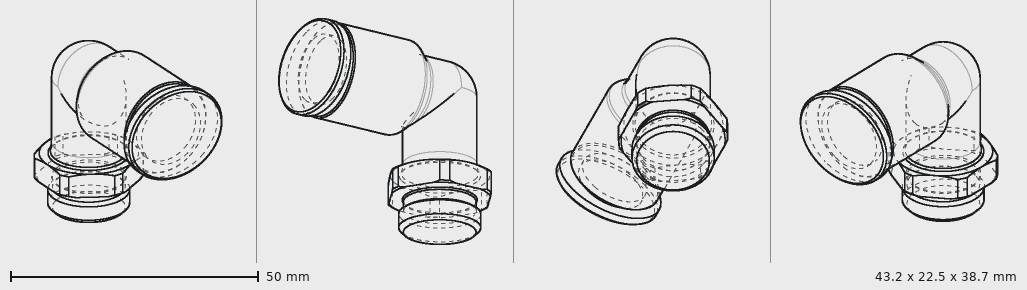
import cadquery as cq
import math


total_length = 43.2
total_height = 38.7
tube_radius = 7.5

hex_across_flats = 20.0
hex_across_corners = 22.05
hex_bottom_z = 6.9
hex_top_z = 12.05
hex_top_chamfer_height = 0.48
hex_bottom_face_radius = 10.5
hex_bottom_chamfer_height = 0.3

thread_radius = 8.3
thread_neck_radius = 7.35
thread_end_chamfer = thread_radius - thread_neck_radius
thread_top_z = 3.95
thread_neck_bottom_z = 4.55
thread_neck_flare = 0.2
thread_neck_flare_height = 0.4

collar_foot_radius = 8.2
collar_radius = 7.75
collar_foot_height = 0.45
collar_taper_height = 2.1

socket_radius = 9.85
socket_cone_start_x = 7.47
socket_cone_end_x = 10.3
socket_end_x = 28.2
socket_foot_blend_radius = 1.25
socket_shoulder_blend_radius = 1.0
socket_end_chamfer = 0.3

ring_neck_radius = 7.13
flange_width = 22.5
flange_height = 19.53
flange_thickness = 2.15
flange_chamfer = 0.48

axis_z = total_height - socket_radius
end_x = total_length - hex_across_corners / 2
flange_start_x = end_x - flange_thickness


def revolve_about_z(outline):
    """Turn an (radius, z) outline, closed along the Z axis, into a solid."""
    bottom_z = outline[0][1]
    top_z = outline[-1][1]
    points = [(0, bottom_z)] + outline + [(0, top_z)]
    return cq.Workplane("XZ").polyline(points).close().revolve(360, (0, 0), (0, 1))


def make_threaded_end():
    return revolve_about_z([
        (thread_radius - thread_end_chamfer, 0),
        (thread_radius, thread_end_chamfer),
        (thread_radius, thread_top_z),
        (thread_neck_radius, thread_neck_bottom_z),
        (thread_neck_radius, hex_bottom_z - thread_neck_flare_height),
        (thread_neck_radius + thread_neck_flare, hex_bottom_z),
    ])


def make_hex_nut():
    """Hexagon with corners on the X axis, its corners trimmed by a chamfered disc."""
    corner_circle_diameter = hex_across_flats / math.cos(math.pi / 6)
    prism = (
        cq.Workplane("XY")
        .workplane(offset=hex_bottom_z)
        .polygon(6, corner_circle_diameter)
        .extrude(hex_top_z - hex_bottom_z)
    )
    trim = revolve_about_z([
        (hex_bottom_face_radius, hex_bottom_z),
        (hex_across_corners / 2, hex_bottom_z + hex_bottom_chamfer_height),
        (hex_across_corners / 2, hex_top_z - hex_top_chamfer_height),
        (hex_across_flats / 2, hex_top_z),
    ])
    return prism.intersect(trim)


def make_stem():
    """Collar and upright tube, up to the socket axis."""
    collar_z = hex_top_z + collar_foot_height
    return revolve_about_z([
        (collar_foot_radius, hex_top_z),
        (collar_radius, collar_z),
        (tube_radius, collar_z + collar_taper_height),
        (tube_radius, axis_z),
    ])


def make_knee():
    return cq.Workplane("XY").sphere(tube_radius).translate((0, 0, axis_z))


def make_socket():
    """Horizontal tube widening through a blended cone to the socket body."""
    cone_rise = socket_radius - tube_radius
    cone_angle = math.atan2(cone_rise, socket_cone_end_x - socket_cone_start_x)
    foot_reach = socket_foot_blend_radius * math.tan(cone_angle / 2)
    shoulder_reach = socket_shoulder_blend_radius * math.tan(cone_angle / 2)
    cone_start = (
        socket_cone_start_x + foot_reach * math.cos(cone_angle),
        tube_radius + foot_reach * math.sin(cone_angle),
    )
    cone_end = (
        socket_cone_end_x - shoulder_reach * math.cos(cone_angle),
        socket_radius - shoulder_reach * math.sin(cone_angle),
    )
    profile = (
        cq.Workplane("XZ", origin=(0, 0, axis_z))
        .lineTo(0, tube_radius)
        .lineTo(socket_cone_start_x - foot_reach, tube_radius)
        .tangentArcPoint(cone_start, relative=False)
        .lineTo(*cone_end)
        .tangentArcPoint((socket_cone_end_x + shoulder_reach, socket_radius), relative=False)
        .lineTo(socket_end_x - socket_end_chamfer, socket_radius)
        .lineTo(socket_end_x, socket_radius - socket_end_chamfer)
        .lineTo(socket_end_x, 0)
        .close()
    )
    return profile.revolve(360, (0, 0), (1, 0))


def make_release_ring():
    neck = (
        cq.Workplane("YZ", origin=(socket_end_x, 0, axis_z))
        .circle(ring_neck_radius)
        .extrude(flange_start_x - socket_end_x)
    )
    flange = (
        cq.Workplane("YZ", origin=(flange_start_x, 0, axis_z))
        .ellipse(flange_width / 2, flange_height / 2)
        .extrude(flange_thickness)
        .faces(">X")
        .chamfer(flange_chamfer)
    )
    return neck.union(flange)


result = (
    make_threaded_end()
    .union(make_hex_nut())
    .union(make_stem())
    .union(make_knee())
    .union(make_socket())
    .union(make_release_ring())
)